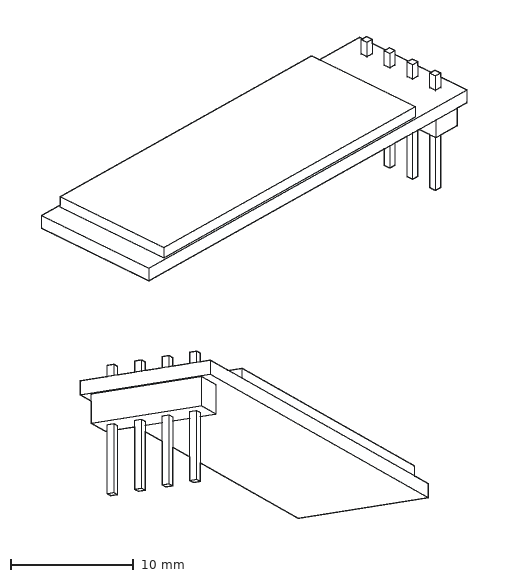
import cadquery as cq

board_width = 12.0
board_length = 38.0
board_thickness = 1.2

panel_width = 11.6
panel_length = 30.02
panel_thickness = 1.0
panel_front_margin = 2.0

pin_count = 4
pin_pitch = 2.55
pin_side = 0.65
pin_length = 11.0
pin_protrusion = 1.35
strip_height = 2.5
header_edge_distance = 1.5

strip_width = pin_count * pin_pitch
strip_depth = pin_pitch
header_y = board_length / 2 - header_edge_distance
pin_top = board_thickness + pin_protrusion
pin_bottom = pin_top - pin_length
pin_positions = [
    ((i - (pin_count - 1) / 2) * pin_pitch, header_y) for i in range(pin_count)
]


def block(width, length, bottom, height, center_y=0):
    """Upright box centred on X, standing on the plane Z = bottom."""
    return (
        cq.Workplane("XY", origin=(0, center_y, bottom))
        .box(width, length, height, centered=(True, True, False))
    )


def pin_at(x, y):
    """One square pin over its full length."""
    return block(pin_side, pin_side, pin_bottom, pin_length, y).translate((x, 0, 0))


def make_board():
    """Flat board with a square hole for each pin."""
    board = block(board_width, board_length, 0, board_thickness)
    for x, y in pin_positions:
        board = board.cut(pin_at(x, y))
    return board


def make_panel():
    """Display panel resting on the top face of the board."""
    center_y = -board_length / 2 + panel_front_margin + panel_length / 2
    return block(panel_width, panel_length, board_thickness, panel_thickness, center_y)


def make_header():
    """Strip and its pins as a single solid."""
    header = block(strip_width, strip_depth, -strip_height, strip_height, header_y)
    for x, y in pin_positions:
        header = header.union(pin_at(x, y))
    return header


board = make_board()
panel = make_panel()
header = make_header()

result = cq.Compound.makeCompound([board.val(), panel.val(), header.val()])